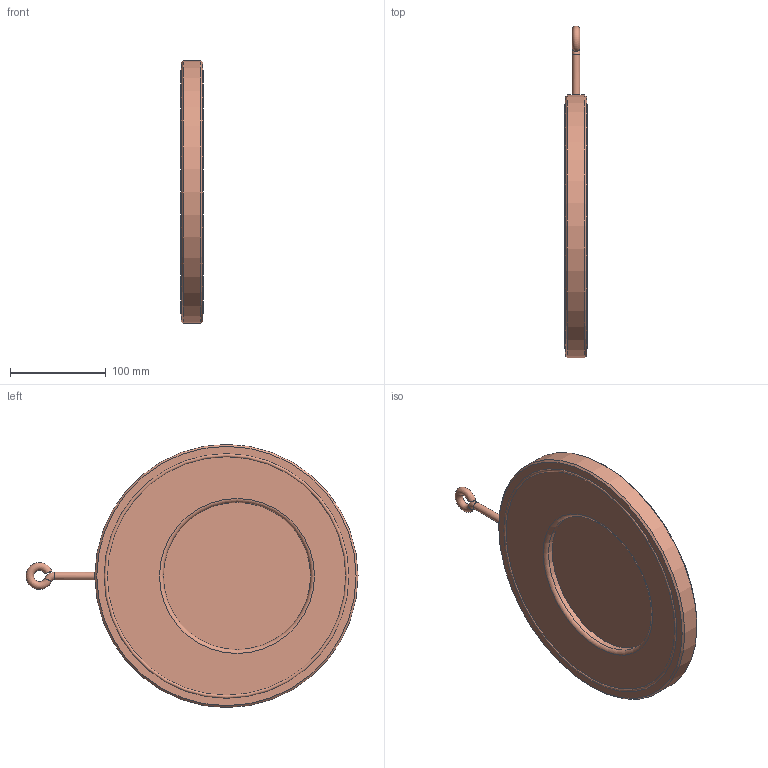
import cadquery as cq
import math

body_diameter = 275.0
body_thickness = 22.0
rim_chamfer = 2.0
body_radius = body_diameter / 2

overall_thickness = 23.79
ring_diameter = 252.5
ring_section_diameter = 3.6
ring_section_radius = ring_section_diameter / 2

recess_diameter = 154.0
recess_offset_y = -11.0
recess_depth = 9.5
mouth_radius = 4.0

rod_diameter = 8.0
overall_length = 347.0
loop_radius = 10.0
shank_end_y = 180.0
loop_tip_angle = math.radians(22)
rod_embedment = 5.0
rod_radius = rod_diameter / 2
loop_center_y = overall_length - body_radius - loop_radius - rod_radius


def make_body():
    return (
        cq.Workplane("YZ")
        .circle(body_radius)
        .extrude(body_thickness / 2, both=True)
        .edges()
        .chamfer(rim_chamfer)
    )


def make_sealing_ring(side):
    """Sealing ring for the face on the given side (-1 or +1) along X."""
    center_x = side * (overall_thickness / 2 - ring_section_radius)
    ring = cq.Solid.makeTorus(
        ring_diameter / 2,
        ring_section_radius,
        cq.Vector(center_x, 0, 0),
        cq.Vector(1, 0, 0),
    )
    return cq.Workplane(ring)


def make_recess():
    """Recess volume, flared at the mouth so the face runs smoothly into the bore."""
    radius = recess_diameter / 2
    face_x = -body_thickness / 2
    floor_x = face_x + recess_depth
    wall_start_x = face_x + mouth_radius
    arc_offset = mouth_radius * math.sqrt(0.5)
    arc_middle = (wall_start_x - arc_offset, radius + mouth_radius - arc_offset)
    return (
        cq.Workplane("XY")
        .moveTo(face_x, 0)
        .lineTo(face_x, radius + mouth_radius)
        .threePointArc(arc_middle, (wall_start_x, radius))
        .lineTo(floor_x, radius)
        .lineTo(floor_x, 0)
        .close()
        .revolve(360, (0, 0), (1, 0))
        .translate((0, recess_offset_y, 0))
    )


def make_lifting_eye():
    """Rod along +Y, curving down through a bend that is tangent to the open loop."""
    reach = loop_center_y - shank_end_y
    bend_radius = (reach**2 - loop_radius**2) / (2 * loop_radius)
    join_angle = math.atan2(bend_radius, reach)

    def bend_point(angle):
        return (
            shank_end_y + bend_radius * math.sin(angle),
            bend_radius * (math.cos(angle) - 1),
        )

    def loop_point(angle):
        return (
            loop_center_y - loop_radius * math.cos(angle),
            loop_radius * math.sin(angle),
        )

    bend_sweep = math.pi / 2 - join_angle
    shank_start_y = body_radius - rod_embedment
    path = (
        cq.Workplane("YZ")
        .moveTo(shank_start_y, 0)
        .lineTo(shank_end_y, 0)
        .threePointArc(bend_point(bend_sweep / 2), loop_point(-join_angle))
        .threePointArc(loop_point(math.pi), loop_point(loop_tip_angle))
    )
    section = cq.Workplane("XZ", origin=(0, shank_start_y, 0)).circle(rod_radius)
    return section.sweep(path)


result = make_body()
for side in (-1, 1):
    result = result.union(make_sealing_ring(side))
result = result.cut(make_recess()).union(make_lifting_eye())